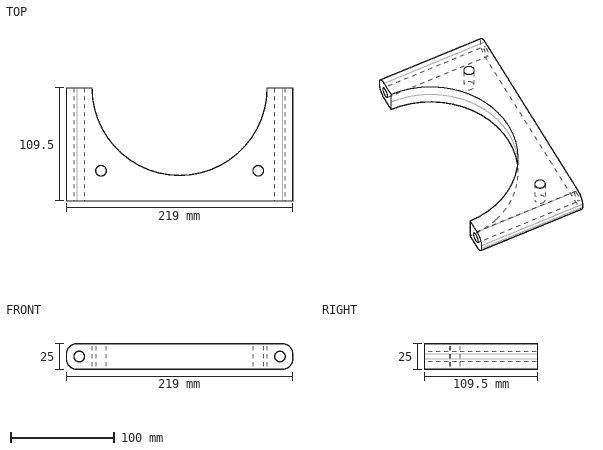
import cadquery as cq

length = 219.0
depth = length / 2
thickness = 25.0
edge_radius = 10.0
cradle_radius = 84.5

hole_diameter = 10.0
long_hole_inset = thickness / 2
long_hole_spacing = length - 2 * long_hole_inset
vertical_hole_spacing = 152.0
vertical_hole_setback = 29.3


def make_body():
    """Block with its front face on Y = 0 and its four long end edges rounded."""
    block = cq.Workplane("XY").box(length, depth, thickness, centered=(True, False, True))
    return block.edges("|Y").fillet(edge_radius)


def make_cradle():
    """Cylinder along Z, centred on the back face."""
    return cq.Workplane("XY").center(0, depth).circle(cradle_radius).extrude(thickness, both=True)


def make_long_holes():
    """Two holes running from the front face to the back face."""
    half = long_hole_spacing / 2
    holes = cq.Workplane("XZ").pushPoints([(-half, 0), (half, 0)])
    return holes.circle(hole_diameter / 2).extrude(-depth)


def make_vertical_holes():
    """Two holes through the thickness, below the cradle's flanks."""
    half = vertical_hole_spacing / 2
    centers = [(-half, vertical_hole_setback), (half, vertical_hole_setback)]
    holes = cq.Workplane("XY").pushPoints(centers)
    return holes.circle(hole_diameter / 2).extrude(thickness, both=True)


result = make_body().cut(make_cradle()).cut(make_long_holes()).cut(make_vertical_holes())